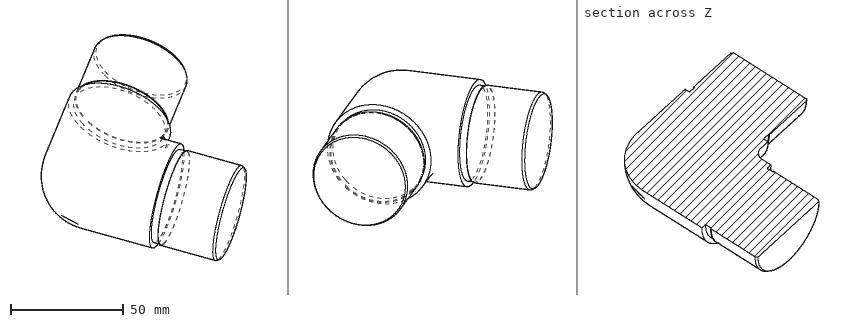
import cadquery as cq

overall_length = 88.1
body_diameter = 48.3
body_leg_length = 33.75
groove_width = 3.3
groove_diameter = 43.2
spigot_diameter = 44.1
end_chamfer_length = 1.15
end_chamfer_depth = 0.7
inner_fillet_radius = 4.2
fillet_height_share = 0.99

body_radius = body_diameter / 2
leg_length = overall_length - body_radius
groove_end = body_leg_length + groove_width

leg_directions = [(1, 0, 0), (0, 1, 0)]


def leg_plane(direction, distance=0.0):
    """Plane square to a leg axis, at a distance from the bend centre."""
    origin = tuple(distance * component for component in direction)
    return cq.Plane(origin=origin, xDir=(0, 0, 1), normal=direction)


def body_leg(direction):
    return cq.Workplane(leg_plane(direction)).circle(body_radius).extrude(body_leg_length)


def elbow_body():
    """Two mitred cylinders, a spherical outer corner and a filleted inner corner."""
    legs = body_leg(leg_directions[0]).union(body_leg(leg_directions[1]))

    band_height = fillet_height_share * body_diameter
    band = cq.Workplane("XY").box(2 * leg_length, 2 * leg_length, band_height)
    seam_middle = (body_radius, body_radius, 0)
    filleted_band = (
        legs.intersect(band)
        .edges(cq.NearestToPointSelector(seam_middle))
        .fillet(inner_fillet_radius)
    )
    return legs.union(filleted_band).union(cq.Workplane("XY").sphere(body_radius))


def spigot(direction):
    """Undercut neck followed by a tube-fitting plug with a chamfered end."""
    neck = (
        cq.Workplane(leg_plane(direction, body_leg_length))
        .circle(groove_diameter / 2)
        .extrude(groove_width)
    )
    plug = (
        cq.Workplane(leg_plane(direction, groove_end))
        .circle(spigot_diameter / 2)
        .extrude(leg_length - groove_end)
        .faces(cq.DirectionMinMaxSelector(cq.Vector(*direction), True))
        .chamfer(end_chamfer_length, end_chamfer_depth)
    )
    return neck.union(plug)


result = elbow_body()
for leg_direction in leg_directions:
    result = result.union(spigot(leg_direction))

result = result.translate((body_radius, body_radius, 0))